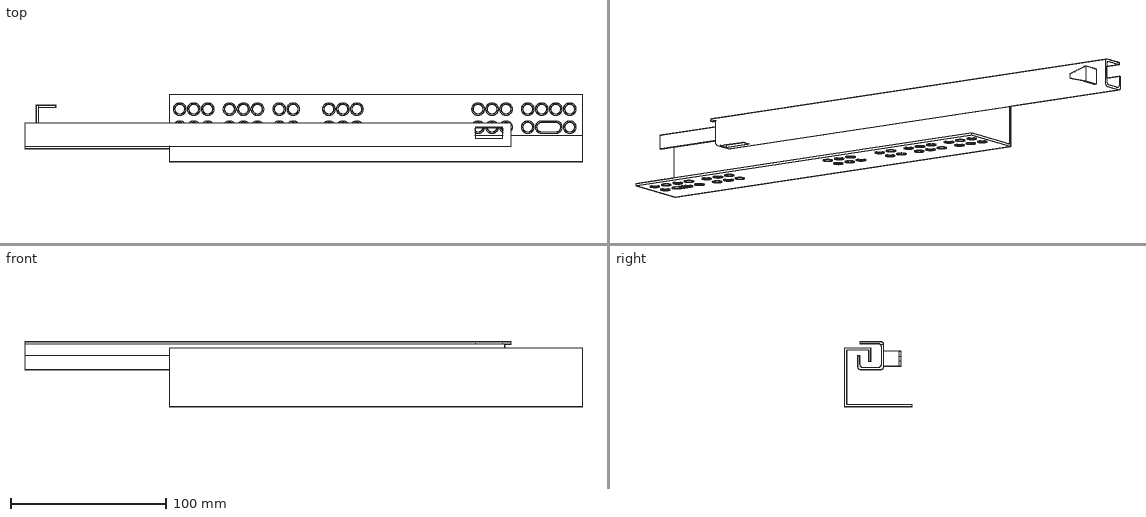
import cadquery as cq

sheet = 1.5

total_length = 359.0
fixed_length = 266.0
fixed_start = total_length - fixed_length
base_width = 43.5
fixed_height = 38.0
guide_back = 17.0
guide_bottom = 29.0

grid_pitch = 32.0
hole_pitch = 9.0
first_hole_x = fixed_start + 6.7
hole_row_back = 34.0
hole_row_front = 22.4
hole_diameter = 6.2
sink_diameter = 8.2
sink_angle = 45.0
sink_depth = (sink_diameter - hole_diameter) / 2
holes_per_group = {0: 3, 1: 3, 2: 2, 3: 3, 6: 3}
end_grid_position = 7
end_group_x = first_hole_x + end_grid_position * grid_pitch
end_group_holes = 4

slide_front = 8.5
slide_back = 25.2
slide_bottom = 23.8
slide_top = 42.0
slide_length = 313.0
lip_top = 33.0
bend_radius = 2.0
rear_relief = 4.0

slot_start = 289.9
slot_end = 307.5
slot_front = 15.0
slot_back = 22.6
floor_slot_back = slide_back - sheet - bend_radius

hook_x = 7.3
hook_end = 20.0
hook_back = 36.5
hook_bottom = 26.0
hook_top = 36.0
hook_taper = 3.5


def box(x0, x1, y0, y1, z0, z1):
    """Block between two opposite corners."""
    return cq.Workplane("XY").box(x1 - x0, y1 - y0, z1 - z0, centered=False).translate((x0, y0, z0))


def sunk_cutter(centre_x, centre_y, spread=0.0):
    """Cutter for a countersunk hole, or for a slot when its ends are spread apart in X."""
    def outline(plane, diameter):
        if spread:
            return plane.slot2D(spread + diameter, diameter)
        return plane.circle(diameter / 2)

    through = outline(cq.Workplane("XY"), hole_diameter).extrude(sheet)
    sink_plane = cq.Workplane("XY", origin=(0, 0, sheet))
    sink = outline(sink_plane, sink_diameter).extrude(-sink_depth, taper=sink_angle)
    return through.union(sink).translate((centre_x, centre_y, 0))


def make_fixed_rail():
    profile = [
        (base_width, 0),
        (0, 0),
        (0, fixed_height),
        (guide_back, fixed_height),
        (guide_back, guide_bottom),
        (guide_back - sheet, guide_bottom),
        (guide_back - sheet, fixed_height - sheet),
        (sheet, fixed_height - sheet),
        (sheet, sheet),
        (base_width, sheet),
    ]
    rail = cq.Workplane("YZ", origin=(fixed_start, 0, 0)).polyline(profile).close().extrude(fixed_length)

    for grid_position, count in holes_per_group.items():
        for index in range(count):
            x = first_hole_x + grid_position * grid_pitch + index * hole_pitch
            for y in (hole_row_back, hole_row_front):
                rail = rail.cut(sunk_cutter(x, y))

    last = end_group_holes - 1
    for index in range(end_group_holes):
        x = end_group_x + index * hole_pitch
        rail = rail.cut(sunk_cutter(x, hole_row_back))
        if index in (0, last):
            rail = rail.cut(sunk_cutter(x, hole_row_front))
    slot_x = end_group_x + last * hole_pitch / 2
    return rail.cut(sunk_cutter(slot_x, hole_row_front, spread=hole_pitch))


def make_sliding_rail():
    outside = box(0, slide_length, slide_front, slide_back, slide_bottom, slide_top)
    outside = outside.edges("|X").edges(">Y or <Z").fillet(bend_radius)
    inside = box(0, slide_length, slide_front + sheet, slide_back - sheet,
                 slide_bottom + sheet, slide_top - sheet)
    inside = inside.edges("|X").edges(">Y or <Z").fillet(bend_radius)
    opening = box(0, slide_length, slide_front, slide_front + sheet, lip_top, slide_top)
    rail = outside.cut(inside).cut(opening)

    relief = box(slide_length - rear_relief, slide_length, slide_front, slide_back,
                 slide_bottom, slide_top - bend_radius)
    rail = rail.cut(relief)

    mid_height = (slide_bottom + slide_top) / 2
    flange_slot = box(slot_start, slot_end, slot_front, slot_back, mid_height, slide_top)
    floor_slot = box(slot_start, slot_end, slot_front, floor_slot_back, slide_bottom, mid_height)
    rail = rail.cut(flange_slot).cut(floor_slot)

    arm = box(hook_x, hook_x + sheet, slide_back - sheet, hook_back, hook_bottom, hook_top)
    tip_outline = [
        (hook_x, hook_bottom),
        (hook_end, hook_bottom + hook_taper),
        (hook_end, hook_top - hook_taper),
        (hook_x, hook_top),
    ]
    tip_plane = cq.Workplane("XZ", origin=(0, hook_back, 0))
    tip = tip_plane.polyline(tip_outline).close().extrude(sheet)
    return rail.union(arm).union(tip)


fixed_rail = make_fixed_rail()
sliding_rail = make_sliding_rail()

result = cq.Compound.makeCompound([fixed_rail.val(), sliding_rail.val()])